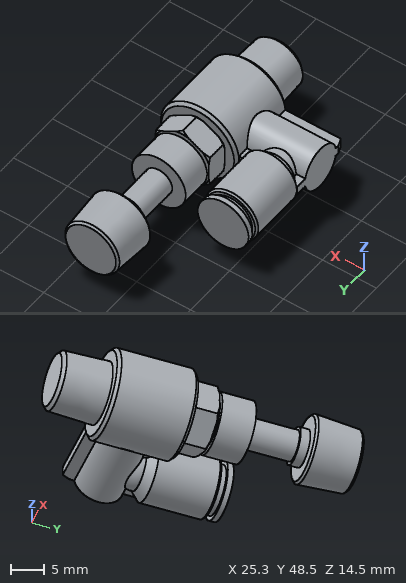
import cadquery as cq
import math

total_length = 48.5

thread_tip_radius = 4.75
thread_root_radius = 5.0
thread_chamfer = 0.6

body_diameter = 14.5
body_radius = body_diameter / 2
body_start = 7.9
body_end = 21.0
body_chamfer = 0.55
body_middle = (body_start + body_end) / 2

collar_radius = 5.0
nut_across_flats = 2 * collar_radius
nut_across_corners = nut_across_flats / math.cos(math.pi / 6)
nut_end = 25.07
nut_edge_radius = 5.25
nut_edge_slope = 30.0
groove_diameter = 8.0
groove_radius = groove_diameter / 2
collar_start = 25.55
collar_end = 31.05

stem_diameter = 5.0
stem_radius = stem_diameter / 2
neck_radius = 3.0
neck_start = 38.95
knob_start = 40.5
knob_base_radius = 5.55
knob_top_radius = 5.05
knob_chamfer = 0.4

overall_width = 25.25
arm_end_x = body_radius - overall_width
arm_diameter = 8.0
arm_radius = arm_diameter / 2
web_thickness = 1.7
web_half_width = 5.95
web_chamfer_x = 0.55
web_chamfer_y = 1.35

tube_x = -13.0
tube_radius = 4.9
tube_start = body_middle + web_half_width
tube_end = 30.6
tube_chamfer = 0.35
tube_seat_radius = 3.5
tube_seat_y = 18.95
tube_groove_diameter = 8.0
tube_groove_radius = tube_groove_diameter / 2
release_ring_start = 31.55
release_ring_end = 32.55
release_ring_diameter = 9.45
release_ring_radius = release_ring_diameter / 2


def revolve_about_y(profile, axis_x=0.0):
    """Turn (radius, y) points into a solid around a line parallel to Y."""
    first_y = profile[0][1]
    last_y = profile[-1][1]
    outline = [(0, first_y)] + profile + [(0, last_y)]
    solid = cq.Workplane("XY").polyline(outline).close().revolve(360, (0, 0), (0, 1))
    return solid.translate((axis_x, 0, 0))


def make_spindle():
    """Threaded end, body, groove, collar, stem and knob on the main axis."""
    return revolve_about_y([
        (thread_tip_radius - thread_chamfer, 0),
        (thread_tip_radius, thread_chamfer),
        (thread_root_radius, body_start),
        (body_radius - body_chamfer, body_start),
        (body_radius, body_start + body_chamfer),
        (body_radius, body_end - body_chamfer),
        (body_radius - body_chamfer, body_end),
        (groove_radius, body_end),
        (groove_radius, collar_start),
        (collar_radius, collar_start),
        (collar_radius, collar_end),
        (stem_radius, collar_end),
        (stem_radius, neck_start),
        (neck_radius, neck_start),
        (neck_radius, knob_start),
        (knob_base_radius - knob_chamfer, knob_start),
        (knob_base_radius, knob_start + knob_chamfer),
        (knob_top_radius, total_length - knob_chamfer),
        (knob_top_radius - knob_chamfer, total_length),
    ])


def make_nut():
    """Hexagonal nut with corners on +Z and -Z, bevelled at both ends."""
    corner_radius = nut_across_corners / 2
    bevel = (corner_radius - nut_edge_radius) * math.tan(math.radians(nut_edge_slope))
    hexagon = (
        cq.Workplane("XZ", origin=(0, body_end, 0))
        .transformed(rotate=(0, 0, 90))
        .polygon(6, nut_across_corners)
        .extrude(body_end - nut_end)
    )
    bevel_envelope = revolve_about_y([
        (nut_edge_radius, body_end),
        (corner_radius, body_end + bevel),
        (corner_radius, nut_end - bevel),
        (nut_edge_radius, nut_end),
    ])
    return hexagon.intersect(bevel_envelope)


def make_arm():
    """Round side arm with a thin flat web along both of its sides."""
    cylinder = (
        cq.Workplane("YZ", origin=(arm_end_x, body_middle, 0))
        .circle(arm_radius)
        .extrude(-arm_end_x)
    )
    web_low = body_middle - web_half_width
    web_high = body_middle + web_half_width
    web = (
        cq.Workplane("XY")
        .polyline([
            (0, web_low),
            (arm_end_x + web_chamfer_x, web_low),
            (arm_end_x, web_low + web_chamfer_y),
            (arm_end_x, web_high),
            (0, web_high),
        ])
        .close()
        .extrude(web_thickness / 2, both=True)
    )
    return cylinder.union(web)


def make_tube_connector():
    """Tube socket with a conical, ball-ended seat and a release ring."""
    socket = revolve_about_y([
        (tube_seat_radius, tube_seat_y),
        (tube_radius, tube_start),
        (tube_radius, tube_end - tube_chamfer),
        (tube_radius - tube_chamfer, tube_end),
        (tube_groove_radius, tube_end),
        (tube_groove_radius, release_ring_start),
        (release_ring_radius, release_ring_start),
        (release_ring_radius, release_ring_end),
    ], tube_x)
    ball = cq.Workplane("XY").sphere(tube_seat_radius).translate((tube_x, tube_seat_y, 0))
    return socket.union(ball)


result = make_spindle().union(make_nut()).union(make_arm()).union(make_tube_connector())